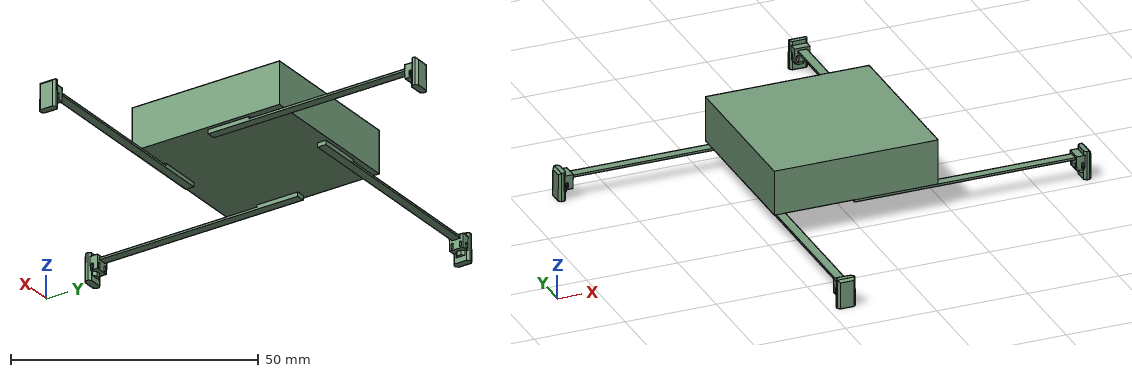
import cadquery as cq

span = 103.4
total_height = 15.5

body_side = 36.0
body_height = 10.0
body_bottom = total_height - body_height

arm_count = 4
arm_offset = 16.15
arm_width = 2.0
arm_top = 5.0
arm_thickness = 0.5
arm_bottom = arm_top - arm_thickness
mount_length = 10.0

plate_width = 4.0
plate_height = 6.4
plate_thickness = 1.65
plate_chamfer = 0.5
plate_draft = 0.5
plate_outer = span / 2
plate_inner = plate_outer - plate_thickness
plate_middle = plate_outer - plate_thickness / 2

collar_width = 3.4
collar_depth = 1.6
collar_front = plate_inner - collar_depth
collar_top = body_bottom
collar_bottom = 2.3
collar_height = collar_top - collar_bottom
collar_draft = 1.0

slot_width = 0.5
slot_height = 1.25
slot_middle = 3.25
slot_spread = 1.0

gusset_depth = 0.6
gusset_root_width = 2.2
gusset_bottom = 1.3


def make_body():
    return cq.Workplane("XY", origin=(0, 0, body_bottom)).rect(body_side, body_side).extrude(body_height)


def make_arm():
    """Thin arm along +X with a thick root that reaches the underside of the body."""
    return (
        cq.Workplane("XZ")
        .moveTo(0, arm_bottom)
        .lineTo(plate_inner, arm_bottom)
        .lineTo(plate_inner, arm_top)
        .lineTo(mount_length, arm_top)
        .lineTo(mount_length, body_bottom)
        .lineTo(0, body_bottom)
        .close()
        .extrude(arm_width / 2, both=True)
    )


def make_plate():
    """Upright plate with chamfered vertical edges and a chamfered outer top edge."""
    plate = (
        cq.Workplane("XY")
        .rect(plate_thickness, plate_width)
        .extrude(plate_height, taper=plate_draft)
    )
    plate = plate.edges("not #Z").chamfer(plate_chamfer)
    plate = plate.faces(">Z").edges(">X").chamfer(plate_chamfer)
    return plate.translate((plate_middle, 0, 0))


def make_collar():
    """Block that leans inward toward the bottom and reaches into the plate's chamfers."""
    length = plate_middle - collar_front
    collar = (
        cq.Workplane("XY", origin=(plate_middle, 0, collar_top))
        .rect(2 * length, collar_width)
        .extrude(-collar_height, taper=collar_draft)
    )
    inward_half = cq.Workplane("XY", origin=(collar_front, 0, 0)).box(
        length, plate_width, total_height, centered=(False, True, False)
    )
    return collar.intersect(inward_half)


def make_corner_slot(side):
    """Elbow-shaped slot on one side (+1 or -1) of the collar."""
    inner_wall = slot_spread - slot_width / 2
    front_slot = (
        cq.Workplane("YZ", origin=(collar_front, side * slot_spread, slot_middle))
        .slot2D(slot_height, slot_width, 90)
        .extrude(plate_inner - collar_front)
    )
    side_slot = (
        cq.Workplane("XZ", origin=(plate_inner - slot_width / 2, side * inner_wall, slot_middle))
        .slot2D(slot_height, slot_width, 90)
        .extrude(-side * (collar_width / 2 - inner_wall))
    )
    return front_slot.union(side_slot)


def make_gusset():
    """Trapezoid rib that narrows away from the plate; its root is sunk into the plate."""
    half_root = gusset_root_width / 2
    half_tip = half_root - gusset_depth
    gusset_tip = plate_inner - gusset_depth
    return (
        cq.Workplane("XY", origin=(0, 0, gusset_bottom))
        .moveTo(plate_middle, -half_root)
        .lineTo(plate_middle, half_root)
        .lineTo(plate_inner, half_root)
        .lineTo(gusset_tip, half_tip)
        .lineTo(gusset_tip, -half_tip)
        .lineTo(plate_inner, -half_root)
        .close()
        .extrude(collar_bottom - gusset_bottom)
    )


def make_leg():
    leg = make_arm().union(make_plate()).union(make_collar()).union(make_gusset())
    for side in (-1, 1):
        leg = leg.cut(make_corner_slot(side))
    return leg.translate((0, -arm_offset, 0))


leg = make_leg()
result = make_body()
for i in range(arm_count):
    result = result.union(leg.rotate((0, 0, 0), (0, 0, 1), i * 360 / arm_count))